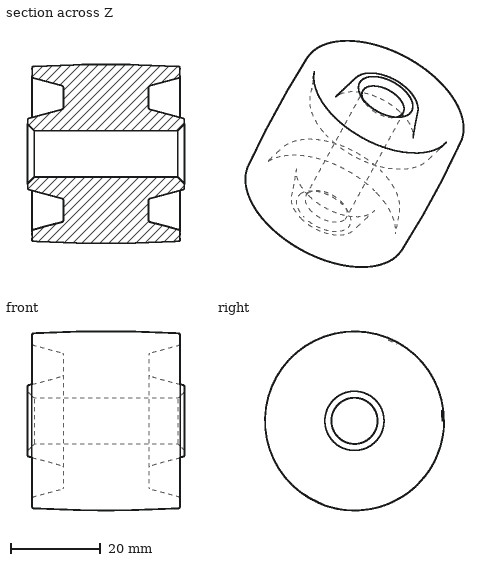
import cadquery as cq
import math

crown_radius = 20.0
tread_edge_radius = 19.53
hub_length = 35.0
hub_overhang = 1.0
web_thickness = 19.0
bore_radius = 5.12
bore_chamfer = 1.5
hub_face_radius = 7.92
recess_mouth_radius = 16.95
draft_angle = 15.0
edge_round = 0.5

hub_half = hub_length / 2
rim_half = hub_half - hub_overhang
web_half = web_thickness / 2
draft = math.tan(math.radians(draft_angle))
hub_base_radius = hub_face_radius + (hub_half - web_half) * draft
recess_floor_radius = recess_mouth_radius - (rim_half - web_half) * draft


def roller_body():
    """Revolve the outer section, without recesses, to a crowned solid."""
    return (
        cq.Workplane("XY")
        .moveTo(-rim_half, 0)
        .lineTo(-rim_half, tread_edge_radius)
        .threePointArc((0, crown_radius), (rim_half, tread_edge_radius))
        .lineTo(rim_half, 0)
        .close()
        .revolve(360, (0, 0, 0), (1, 0, 0))
    )


def ring(points):
    """Revolve a closed (axial position, radius) outline about X."""
    return cq.Workplane("XY").polyline(points).close().revolve(360, (0, 0, 0), (1, 0, 0))


def recess(side):
    """Tapered recess down to the axis on one side, -1 or 1; the hub fills its centre later."""
    return ring([
        (side * web_half, 0),
        (side * rim_half, 0),
        (side * rim_half, recess_mouth_radius),
        (side * web_half, recess_floor_radius),
    ])


def hub():
    """Tapered hub reaching out from both faces of the web."""
    return ring([
        (-hub_half, 0),
        (-hub_half, hub_face_radius),
        (-web_half, hub_base_radius),
        (web_half, hub_base_radius),
        (hub_half, hub_face_radius),
        (hub_half, 0),
    ])


body = roller_body().cut(recess(-1)).cut(recess(1)).union(hub())
body = body.faces("|X").edges("%CIRCLE").fillet(edge_round)

bore = cq.Workplane("YZ").circle(bore_radius).extrude(hub_half, both=True)
body = body.cut(bore)
result = body.faces("<X or >X").edges(cq.selectors.RadiusNthSelector(0)).chamfer(bore_chamfer)